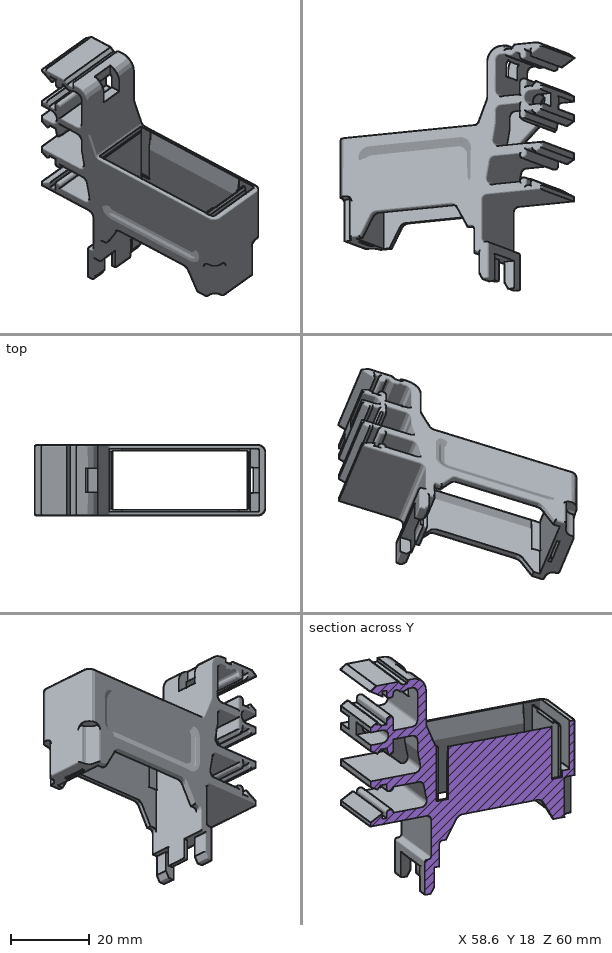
import cadquery as cq
import math

WIDTH = 18.0
LENGTH = 58.6
HEIGHT = 59.95
EDGE_R = 0.5
CLEAR = 0.6

ARM_TIP_X = 0.2
LIP_PEAK_X = 2.15
LIP_NOTCH_X = 3.1
BEAD_LEFT, BEAD_RIGHT = 4.7, 6.7
BEAD_R = 0.99
BEAD_HEIGHT = 1.0
SLOT_LEFT = 3.65
COLUMN_LEFT, COLUMN_RIGHT = 13.5, 16.05
INNER_R = 1.45
TOP_ARM_UNDER = 57.45
CLAMP_TOP, CLAMP_UNDER = 46.9, 44.3
ARM_3_TOP, ARM_3_UNDER = 34.1, 31.3
ARM_4_TOP, ARM_4_UNDER = 24.35, 21.6

BOX_TOP = 40.15
BOX_UNDER = 20.15
FOOT_BOTTOM = 14.0
BOX_CORNER_R = 2.05

POST_LEFT, POST_RIGHT = 17.4, 19.8
LEG_LEFT, LEG_RIGHT = 15.6, 18.35
LEG_TOP = 9.7
LEG_SHOULDER = 7.1

GROOVE_X, GROOVE_Z, GROOVE_R = 3.55, 45.7, 1.7
GROOVE_END = GROOVE_X + GROOVE_R
GROOVE_END_R = GROOVE_R - 0.03
BLOCK_Y_MIN, BLOCK_Y_MAX = -0.1, 4.3

PROFILE = [
    (0, 58.7, 0),
    (1.75, HEIGHT, 0),
    (8.2, HEIGHT, 0),
    (9.1, 59.0, 0),
    (10.6, 59.0, 0),
    (10.6, HEIGHT, 0),
    (COLUMN_RIGHT, HEIGHT, 3.95),
    (COLUMN_RIGHT, 46.65, 3.0),
    (18.8, BOX_TOP, 1.1),
    (LENGTH, BOX_TOP, 0),
    (LENGTH, FOOT_BOTTOM, 0),
    (52.3, FOOT_BOTTOM, 0),
    (48.75, BOX_UNDER, 2.05),
    (25.2, BOX_UNDER, 2.05),
    (21.7, FOOT_BOTTOM, 0),
    (POST_RIGHT, FOOT_BOTTOM, 0.9),
    (POST_RIGHT, LEG_SHOULDER, 0),
    (LEG_RIGHT, LEG_SHOULDER, 0),
    (LEG_RIGHT, 1.7, 0),
    (17.3, 0, 0.35),
    (LEG_LEFT, 0, 0.35),
    (LEG_LEFT, LEG_TOP, 0.7),
    (POST_LEFT, LEG_TOP, 0.7),
    (POST_LEFT, ARM_4_UNDER, 1.3),
    (ARM_TIP_X, ARM_4_UNDER, 0),
    (ARM_TIP_X, 22.8, 0),
    (SLOT_LEFT, 24.75, 0),
    (SLOT_LEFT, 23.2, 0),
    (BEAD_LEFT, 23.2, 0),
    (BEAD_LEFT, ARM_4_TOP + BEAD_HEIGHT, BEAD_R),
    (BEAD_RIGHT, ARM_4_TOP + BEAD_HEIGHT, BEAD_R),
    (BEAD_RIGHT, ARM_4_TOP, 0),
    (16.4, ARM_4_TOP, INNER_R),
    (15.05, ARM_3_UNDER, INNER_R),
    (BEAD_RIGHT, ARM_3_UNDER, 0),
    (BEAD_RIGHT, ARM_3_UNDER - BEAD_HEIGHT, BEAD_R),
    (BEAD_LEFT, ARM_3_UNDER - BEAD_HEIGHT, BEAD_R),
    (BEAD_LEFT, 32.4, 0),
    (LIP_NOTCH_X, 32.4, 0),
    (LIP_PEAK_X, 31.35, 0),
    (ARM_TIP_X, 32.45, 0),
    (ARM_TIP_X, ARM_3_TOP, 0),
    (14.6, ARM_3_TOP, INNER_R),
    (COLUMN_LEFT, 40.0, 0),
    (COLUMN_LEFT, CLAMP_UNDER, INNER_R),
    (BEAD_RIGHT, CLAMP_UNDER, 0),
    (BEAD_RIGHT, 41.0, 0),
    (5.7, 40.05, 0),
    (5.15, 40.6, 0),
    (4.8, 42.2, 0),
    (LIP_NOTCH_X, 42.2, 0),
    (LIP_PEAK_X, 41.2, 0),
    (ARM_TIP_X, 42.3, 0),
    (ARM_TIP_X, GROOVE_Z - GROOVE_R, 0),
    (GROOVE_END, GROOVE_Z - GROOVE_R, GROOVE_END_R),
    (GROOVE_END, GROOVE_Z + GROOVE_R, GROOVE_END_R),
    (ARM_TIP_X, GROOVE_Z + GROOVE_R, 0),
    (ARM_TIP_X, 48.75, 0),
    (LIP_PEAK_X, 49.95, 0),
    (LIP_NOTCH_X, 48.85, 0),
    (BEAD_LEFT, 48.85, 0),
    (BEAD_LEFT, 50.9, BEAD_R),
    (BEAD_RIGHT, 50.9, BEAD_R),
    (BEAD_RIGHT, CLAMP_TOP, 0),
    (COLUMN_LEFT, CLAMP_TOP, INNER_R),
    (COLUMN_LEFT, TOP_ARM_UNDER, INNER_R),
    (10.8, TOP_ARM_UNDER, 0.6),
    (10.1, 56.95, 0.6),
    (8.75, 56.95, 0.6),
    (7.45, 57.9, 0.7),
    (BEAD_RIGHT, 57.2, 0.5),
    (BEAD_RIGHT, 55.8, BEAD_R),
    (4.8, 55.8, 0.9),
    (4.8, 58.05, 0),
    (SLOT_LEFT, 58.05, 0),
    (SLOT_LEFT, 56.55, 0),
]

RIB_THICKNESS = 2.05
RIB_TIP = (5.65, 40.15)
RIB_FOOT_X = 12.5

WINDOW_LEFT, WINDOW_BOTTOM, WINDOW_HALF = 13.0, 53.1, 3.0

LEG_INNER_Y = 5.35
TAB_LEFT, TAB_BOTTOM, TAB_HALF = LEG_RIGHT, 1.55, 3.0
TAB_BEVEL_DEPTH, TAB_BEVEL_WIDTH = 0.35, 0.6
TAB_RAMP_TOP = 3.1
TAB_BOTTOM_R = 0.4

CAVITY_LEFT, CAVITY_RIGHT = 19.0, 57.0
CAVITY_HALF = 8.05
CAVITY_FLOOR = 25.2
END_LEDGE = 27.0
THROUGH_LEFT, THROUGH_RIGHT = 19.8, 53.95
THROUGH_HALF = 7.45
PLATE_THICKNESS, PLATE_HALF = 0.8, 7.2
PLATE_TOP = BOX_TOP - 0.65
PLATE_RAMP_HALF, PLATE_RAMP_DEPTH, PLATE_RAMP_HEIGHT = 4.55, 0.35, 0.7
CAVITY_CORNER_R = 0.6
PAD_LEFT, PAD_RIGHT = 22.2, 51.8
PAD_TOP, PAD_FULL = BOX_TOP, 34.9
LATCH_HALF = 3.2
LATCH_SLOT_RIGHT = 55.45
LATCH_FLOOR = 20.4

PANEL_LEFT, PANEL_RIGHT = 19.95, 53.6
PANEL_BOTTOM, PANEL_TOP = 22.9, 37.4
PANEL_CORNER_R = 3.85
PANEL_SLOPE_WIDTH = 2.5
PANEL_DEPTH = 0.6

SCOOP_REACH = 4.0
SCOOP_LIP = 0.9
SCOOP_LIP_R = 0.85
SCOOP_R = 2.15
SCOOP_TOP = 25.0
SCOOP_ROOF_R = 1.85


def box(x, y, z):
    """Box spanning the given (low, high) pairs."""
    size = (x[1] - x[0], y[1] - y[0], z[1] - z[0])
    return cq.Workplane("XY").box(*size, centered=False).translate((x[0], y[0], z[0]))


def toward(start, end, distance):
    """Point at a distance from start on the way to end."""
    ratio = distance / math.dist(start, end)
    return (start[0] + (end[0] - start[0]) * ratio, start[1] + (end[1] - start[1]) * ratio)


def rounded_outline(workplane, corners):
    """Closed outline through (u, v, radius) corners, each rounded by its radius."""
    drawn = None
    for i, (u, v, radius) in enumerate(corners):
        corner = (u, v)
        before = corners[i - 1][:2]
        after = corners[(i + 1) % len(corners)][:2]
        start = corner
        if radius:
            to_before = math.atan2(before[1] - v, before[0] - u)
            to_after = math.atan2(after[1] - v, after[0] - u)
            half_angle = abs(math.remainder(to_after - to_before, 2 * math.pi)) / 2
            setback = radius / math.tan(half_angle)
            start = toward(corner, before, setback)
            end = toward(corner, after, setback)
            chord_middle = ((start[0] + end[0]) / 2, (start[1] + end[1]) / 2)
            middle = toward(corner, chord_middle, radius / math.sin(half_angle) - radius)
        drawn = drawn.lineTo(*start) if drawn else workplane.moveTo(*start)
        if radius:
            drawn = drawn.threePointArc(middle, end)
    return drawn.close()


def make_body():
    """Extruded side profile with a rounded box end and rounded rims."""
    body = rounded_outline(cq.Workplane("XZ"), PROFILE).extrude(WIDTH / 2, both=True)
    end_edges = cq.selectors.BoxSelector((LENGTH - CLEAR, -WIDTH, 0), (LENGTH + CLEAR, WIDTH, HEIGHT))
    body = body.edges("|Z").edges(end_edges).fillet(BOX_CORNER_R)
    arc_x = LENGTH - BOX_CORNER_R
    side_edges = body.faces("<Y or >Y").edges().filter(lambda edge: edge.Center().x < arc_x - EDGE_R / 2)
    end_rims = body.edges(">X").edges("|Y")
    corner_arcs = body.edges("%CIRCLE").filter(lambda edge: edge.Center().x > arc_x)
    return side_edges.add(end_rims).add(corner_arcs).fillet(EDGE_R)


def make_block():
    """Block in the groove of the clamp arm, drilled through along Y."""
    block = box((ARM_TIP_X, GROOVE_END), (BLOCK_Y_MIN, BLOCK_Y_MAX),
                (GROOVE_Z - GROOVE_R, GROOVE_Z + GROOVE_R))
    drill = cq.Workplane("XZ").center(GROOVE_X, GROOVE_Z).circle(GROOVE_END_R)
    return block.cut(drill.extrude(WIDTH, both=True))


def make_rib():
    """Central web between the clamp arm, the column and arm 3."""
    corners = [
        RIB_TIP,
        (BEAD_LEFT + 2 * CLEAR, CLAMP_UNDER + CLEAR),
        (COLUMN_LEFT + 2 * CLEAR, CLAMP_UNDER + CLEAR),
        (COLUMN_LEFT + 2 * CLEAR, ARM_3_TOP),
        (RIB_FOOT_X, ARM_3_TOP),
    ]
    rib = cq.Workplane("XZ").polyline(corners).close().extrude(RIB_THICKNESS / 2, both=True)
    return rib.faces("<(1,0,1)").edges("not |Y").fillet(EDGE_R)


def make_window():
    """Opening through the rounded top of the column."""
    return box((WINDOW_LEFT, COLUMN_RIGHT + CLEAR), (-WINDOW_HALF, WINDOW_HALF),
               (WINDOW_BOTTOM, HEIGHT + CLEAR))


def make_leg_gap():
    """Gap that splits the foot of the post into two legs."""
    return box((LEG_LEFT - CLEAR, LEG_RIGHT + CLEAR), (-LEG_INNER_Y, LEG_INNER_Y), (-CLEAR, LEG_SHOULDER))


def make_tab():
    """Tongue hanging between the legs, bevelled on its left side and at its tip."""
    tab = box((TAB_LEFT, POST_RIGHT), (-TAB_HALF, TAB_HALF), (TAB_BOTTOM, LEG_SHOULDER + CLEAR))
    tab = tab.edges("|X and <Z").fillet(TAB_BOTTOM_R)
    for side in (-1, 1):
        bevel = [
            (TAB_LEFT, side * TAB_HALF),
            (TAB_LEFT + TAB_BEVEL_DEPTH, side * TAB_HALF),
            (TAB_LEFT, side * (TAB_HALF - TAB_BEVEL_WIDTH)),
        ]
        tab = tab.cut(cq.Workplane("XY").polyline(bevel).close().extrude(LEG_SHOULDER))
    tip = [
        (TAB_LEFT, TAB_BOTTOM),
        (TAB_LEFT, TAB_RAMP_TOP),
        (TAB_LEFT + TAB_BEVEL_DEPTH, TAB_BOTTOM),
    ]
    return tab.cut(cq.Workplane("XZ").polyline(tip).close().extrude(WIDTH, both=True))


def make_plate(inner_x, outer_x):
    """Upright plate at one end of the cavity, its top sloping down toward outer_x."""
    outline = [
        (inner_x, CAVITY_FLOOR),
        (inner_x, PLATE_TOP),
        ((inner_x + outer_x) / 2, PLATE_TOP),
        (outer_x, PLATE_TOP - PLATE_THICKNESS),
        (outer_x, CAVITY_FLOOR),
    ]
    return cq.Workplane("XZ").polyline(outline).close().extrude(PLATE_HALF, both=True)


def make_plate_ramp():
    """Wedge that bevels the middle of the latch plate's top on its inner side."""
    outline = [
        (THROUGH_RIGHT, PLATE_TOP - PLATE_RAMP_HEIGHT),
        (THROUGH_RIGHT, PLATE_TOP),
        (THROUGH_RIGHT + PLATE_RAMP_DEPTH, PLATE_TOP),
    ]
    return cq.Workplane("XZ").polyline(outline).close().extrude(PLATE_RAMP_HALF, both=True)


def make_pad(side):
    """Thicker stretch of a side wall behind its dished panel; side is +1 or -1."""
    outline = [
        (side * CAVITY_HALF, PAD_TOP),
        (side * THROUGH_HALF, PAD_FULL),
        (side * THROUGH_HALF, CAVITY_FLOOR),
        (side * CAVITY_HALF, CAVITY_FLOOR),
    ]
    pad = cq.Workplane("YZ", origin=(PAD_LEFT, 0, 0)).polyline(outline).close()
    return pad.extrude(PAD_RIGHT - PAD_LEFT)


def make_cavity():
    """Hollow of the box, open at the top and bottom, with the latch slot at its end."""
    upper = box((CAVITY_LEFT, CAVITY_RIGHT), (-CAVITY_HALF, CAVITY_HALF), (CAVITY_FLOOR, BOX_TOP + CLEAR))
    upper = upper.edges("|Z and >X").fillet(CAVITY_CORNER_R)
    upper = upper.cut(make_pad(1)).cut(make_pad(-1))
    upper = upper.cut(make_plate(THROUGH_LEFT, CAVITY_LEFT))
    latch_plate = make_plate(THROUGH_RIGHT, THROUGH_RIGHT + PLATE_THICKNESS)
    upper = upper.cut(latch_plate.cut(make_plate_ramp()))
    latch_left = THROUGH_RIGHT + PLATE_THICKNESS
    upper = upper.cut(box((latch_left, LENGTH), (-WIDTH, WIDTH), (0, END_LEDGE)))
    through = box((THROUGH_LEFT, THROUGH_RIGHT), (-THROUGH_HALF, THROUGH_HALF), (0, BOX_TOP + CLEAR))
    latch_slot = box((latch_left, LATCH_SLOT_RIGHT), (-LATCH_HALF, LATCH_HALF), (0, END_LEDGE))
    latch_pocket = box((latch_left, CAVITY_RIGHT), (-LATCH_HALF, LATCH_HALF), (LATCH_FLOOR, END_LEDGE))
    return upper.union(through).union(latch_slot).union(latch_pocket)


def dish_section(workplane, half_span):
    """Half of the dish section: depth over distance from the middle, with an S-shaped rim."""
    rim_angle = 2 * math.atan(PANEL_DEPTH / PANEL_SLOPE_WIDTH)
    rim_radius = PANEL_SLOPE_WIDTH / 2 / math.sin(rim_angle)
    arc_run = rim_radius * math.sin(rim_angle / 2)
    arc_drop = rim_radius * (1 - math.cos(rim_angle / 2))
    floor_edge = half_span - PANEL_SLOPE_WIDTH
    return (
        workplane.moveTo(0, 0)
        .lineTo(half_span, 0)
        .threePointArc((half_span - arc_run, arc_drop),
                       (half_span - PANEL_SLOPE_WIDTH / 2, PANEL_DEPTH / 2))
        .threePointArc((floor_edge + arc_run, PANEL_DEPTH - arc_drop), (floor_edge, PANEL_DEPTH))
        .lineTo(0, PANEL_DEPTH)
        .close()
    )


def make_panel():
    """Dish cut into the front side of the box, with rounded corners."""
    middle_x = (PANEL_LEFT + PANEL_RIGHT) / 2
    middle_z = (PANEL_BOTTOM + PANEL_TOP) / 2
    half_length = (PANEL_RIGHT - PANEL_LEFT) / 2
    half_height = (PANEL_TOP - PANEL_BOTTOM) / 2
    straight_x = half_length - PANEL_CORNER_R
    straight_z = half_height - PANEL_CORNER_R
    origin = (middle_x, -WIDTH / 2, middle_z)

    across = cq.Workplane(cq.Plane(origin, xDir=(0, 0, 1), normal=(-1, 0, 0)))
    along = cq.Workplane(cq.Plane(origin, xDir=(1, 0, 0), normal=(0, 0, 1)))
    long_half = dish_section(across, half_height).extrude(straight_x, both=True)
    short_half = dish_section(along, half_length).extrude(straight_z, both=True)
    corner = dish_section(along, PANEL_CORNER_R).revolve(360, (0, 0), (0, 1))

    dish = long_half.union(long_half.mirror("XY", origin))
    dish = dish.union(short_half).union(short_half.mirror("YZ", origin))
    for x in (-straight_x, straight_x):
        for z in (-straight_z, straight_z):
            dish = dish.union(corner.translate((x, 0, z)))
    return dish


def make_corner_scoop():
    """Round scoop, with rounded lips, in the front lower corner of the box end."""
    face_x, face_y = LENGTH, -WIDTH / 2
    start_x, end_y = face_x - SCOOP_REACH, face_y + SCOOP_REACH
    wall_x, wall_y = start_x + SCOOP_LIP, end_y - SCOOP_LIP
    clear_x, clear_y = face_x + CLEAR, face_y - CLEAR
    plan = [
        (start_x, clear_y, 0),
        (start_x, face_y, 0),
        (wall_x, face_y, SCOOP_LIP_R),
        (wall_x, wall_y, SCOOP_R),
        (face_x, wall_y, SCOOP_LIP_R),
        (face_x, end_y, 0),
        (clear_x, end_y, 0),
        (clear_x, clear_y, 0),
    ]
    scoop = rounded_outline(cq.Workplane("XY"), plan).extrude(SCOOP_TOP)
    roof = box((start_x, clear_x), (clear_y, end_y), (0, SCOOP_TOP))
    roof = roof.faces(">Z").edges("<X or >Y").fillet(SCOOP_ROOF_R)
    return scoop.intersect(roof)


result = make_body().union(make_block()).union(make_rib())
for cutter in (make_window(), make_leg_gap(), make_cavity()):
    result = result.cut(cutter)
result = result.union(make_tab())
for side_cutter in (make_panel(), make_corner_scoop()):
    result = result.cut(side_cutter).cut(side_cutter.mirror("XZ"))